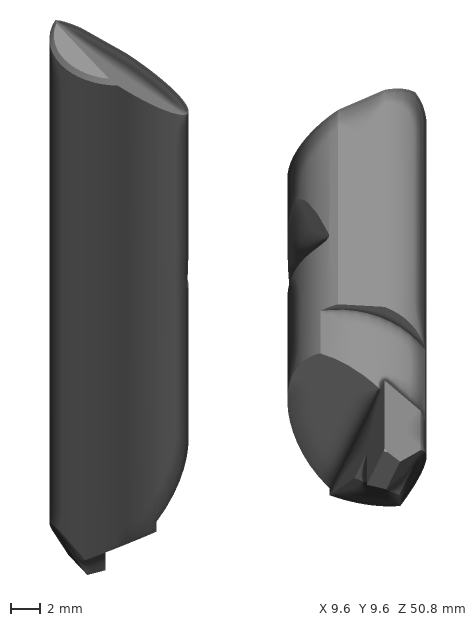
import cadquery as cq

length = 50.8
radius = 4.8
top_chamfer = 0.3
margin = 2.55
reach = radius + margin

top_bevel_depth = 7.7
bottom_bevel_start = 14.2
bottom_bevel_end = bottom_bevel_start - radius

notch_top = 36.7
notch_bottom = 27.55
notch_floor_y = 3.3
notch_radius = 1.0

flat_end_y = 3.0
flat_end_x = -(radius**2 - flat_end_y**2) ** 0.5

pocket_bottom = 9.25
pocket_top = 19.0
pocket_half_width = 3.9
pocket_crown_x = -3.9
pocket_edge_x = -(radius**2 - pocket_half_width**2) ** 0.5

side_relief_y = -3.25
side_relief_x = -(radius**2 - side_relief_y**2) ** 0.5
tip_right_x = -1.75
tip_side_taper = 0.25
neck_height = 4.2
neck_right_x = 0.45
front_slope_top = 7.2
front_slope_end_y = -1.4
front_slope_end_z = 0.2
tip_corner = 0.15


def prism_along_x(points):
    """Solid across the whole shank from a list of (y, z) points."""
    return cq.Workplane("YZ").polyline(points).close().extrude(reach, both=True)


def prism_along_y(points):
    """Solid through the whole shank from a list of (x, z) points."""
    return cq.Workplane("XZ").polyline(points).close().extrude(reach, both=True)


def prism_along_z(points, bottom, top):
    """Solid between two heights from a list of (x, y) points."""
    return cq.Workplane("XY").workplane(offset=bottom).polyline(points).close().extrude(top - bottom)


def shank():
    return cq.Workplane("XY").circle(radius).extrude(length).faces(">Z").chamfer(top_chamfer)


def top_bevel():
    low = length - top_bevel_depth
    return prism_along_x([
        (radius + margin, low - margin),
        (radius - top_bevel_depth - margin, length + margin),
        (radius + margin, length + margin),
    ])


def bottom_bevel():
    """45 degree back bevel that runs into the flat rake face on the axis."""
    return prism_along_x([
        (0, -margin),
        (0, bottom_bevel_end),
        (reach, bottom_bevel_start + margin),
        (reach, -margin),
    ])


def clamping_notch():
    slope_run = radius - notch_floor_y
    slope_rise = notch_top - notch_bottom
    notch = prism_along_x([
        (notch_floor_y, notch_bottom),
        (reach, notch_bottom),
        (reach, notch_top + margin * slope_rise / slope_run),
    ])
    return notch.edges("|X and <Y").fillet(notch_radius)


def locating_flat():
    run_x = flat_end_x + radius
    return prism_along_z(
        [
            (-radius, 0),
            (flat_end_x + run_x, 2 * flat_end_y),
            (-reach, 2 * flat_end_y),
            (-reach, 0),
        ],
        pocket_bottom,
        length,
    )


def relief_pocket():
    """Left-side cut whose inner wall is a flatter arc than the shank."""
    return (
        cq.Workplane("XY")
        .workplane(offset=pocket_bottom)
        .moveTo(pocket_edge_x, -pocket_half_width)
        .threePointArc((pocket_crown_x, 0), (pocket_edge_x, pocket_half_width))
        .lineTo(-reach, pocket_half_width)
        .lineTo(-reach, -pocket_half_width)
        .close()
        .extrude(pocket_top - pocket_bottom)
    )


def side_relief():
    """Flat clearance face on the left of the tip, below the pocket."""
    return prism_along_z(
        [
            (-radius, 0),
            (side_relief_x, side_relief_y),
            (-reach, side_relief_y),
            (-reach, 0),
        ],
        0,
        pocket_bottom,
    )


def right_bevel():
    return prism_along_y([
        (neck_right_x - neck_height - margin, -margin),
        (reach, neck_height + reach - neck_right_x),
        (reach, -margin),
    ])


def right_step():
    """Clears the material right of the tip, with a slightly tapered side."""
    return prism_along_z(
        [
            (tip_right_x, 0),
            (tip_right_x - tip_side_taper, -radius),
            (tip_right_x - tip_side_taper, -reach),
            (reach, -reach),
            (reach, 0),
        ],
        0,
        neck_height,
    )


def front_clearance():
    """Slanted front of the tip and the shallow clearance under its edge."""
    return prism_along_x([
        (0, 0),
        (front_slope_end_y, front_slope_end_z),
        (-radius, front_slope_top),
        (-reach, front_slope_top),
        (-reach, -margin),
        (0, -margin),
    ])


def tip_corner_bevel():
    return prism_along_y([
        (-radius, tip_corner),
        (-radius + tip_corner, 0),
        (-radius, 0),
    ])


def neck_cut():
    """Bevel on the right, limited to the material above the step."""
    above_step = cq.Workplane("XY").workplane(offset=neck_height).rect(2 * reach, 2 * reach).extrude(length)
    return right_bevel().intersect(above_step)


result = shank()
for cutter in (
    top_bevel,
    bottom_bevel,
    clamping_notch,
    locating_flat,
    relief_pocket,
    side_relief,
    neck_cut,
    right_step,
    front_clearance,
    tip_corner_bevel,
):
    result = result.cut(cutter())